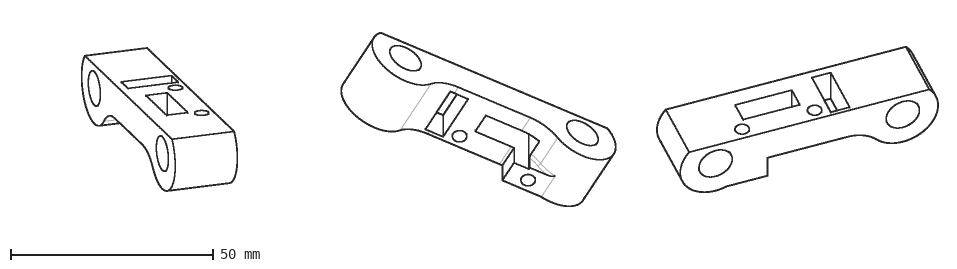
import cadquery as cq
import math

length = 68.2
width = 16.4
end_radius = 9.35
bore_diameter = 8.8
top_height = 6.2
underside_depth = 2.7
blend_radius = 10.2

cross_slot_size = (5.0, 13.2)
cross_slot_center = (-8.6, 0.55)
long_slot_size = (15.0, 5.6)
long_slot_center = (7.65, -0.8)
screw_hole_diameter = 3.55
screw_hole_y = 5.1
screw_hole_x = (-2.6, 16.6)

block_left = 11.0
block_depth = 8.9
block_front = 1.5
root_fillet = 0.7

bore_x = length / 2 - end_radius
overlap = 0.7


def bar():
    """Bar with round ends, flat top and a blended relief underneath."""
    top_x = bore_x + math.sqrt(end_radius**2 - top_height**2)
    blend_z = -underside_depth - blend_radius
    center_distance = end_radius + blend_radius
    blend_x = bore_x - math.sqrt(center_distance**2 - blend_z**2)
    share = end_radius / center_distance
    tangent_x = bore_x + share * (blend_x - bore_x)
    tangent_z = share * blend_z
    blend_angle = (math.pi / 2 + math.atan2(-blend_z, bore_x - blend_x)) / 2
    mid_x = blend_x + blend_radius * math.cos(blend_angle)
    mid_z = blend_z + blend_radius * math.sin(blend_angle)

    return (
        cq.Workplane("XZ", origin=(0, width / 2, 0))
        .moveTo(-top_x, top_height)
        .lineTo(top_x, top_height)
        .threePointArc((length / 2, 0), (tangent_x, tangent_z))
        .threePointArc((mid_x, mid_z), (blend_x, -underside_depth))
        .lineTo(-blend_x, -underside_depth)
        .threePointArc((-mid_x, mid_z), (-tangent_x, tangent_z))
        .threePointArc((-length / 2, 0), (-top_x, top_height))
        .close()
        .extrude(width)
    )


def add_block(body):
    """Add the block at the back, with a fillet where its front wall meets the blend and round end."""
    block = cq.Workplane("XY").box(
        bore_x - block_left, width / 2 - block_front, block_depth, centered=False
    ).translate((block_left, block_front, -block_depth))
    joined = body.union(block)
    root_edges = (
        joined.edges(
            cq.selectors.BoxSelector(
                (block_left, block_front - overlap, -block_depth),
                (bore_x, block_front + overlap, -underside_depth),
            )
        )
        .edges("%CIRCLE")
    )
    return root_edges.fillet(root_fillet)


def through_top(sketch):
    """Extrude a closed outline through the full height of the part."""
    return sketch.extrude(end_radius + top_height + 2 * overlap)


floor = cq.Workplane("XY", origin=(0, 0, -end_radius - overlap))
result = add_block(bar())
for center, size in (
    (cross_slot_center, cross_slot_size),
    (long_slot_center, long_slot_size),
):
    result = result.cut(through_top(floor.center(*center).rect(*size)))

screw_points = [(x, screw_hole_y) for x in screw_hole_x]
result = result.cut(through_top(floor.pushPoints(screw_points).circle(screw_hole_diameter / 2)))

bore_points = [(-bore_x, 0), (bore_x, 0)]
bores = (
    cq.Workplane("XZ")
    .pushPoints(bore_points)
    .circle(bore_diameter / 2)
    .extrude(width / 2 + overlap, both=True)
)
result = result.cut(bores)